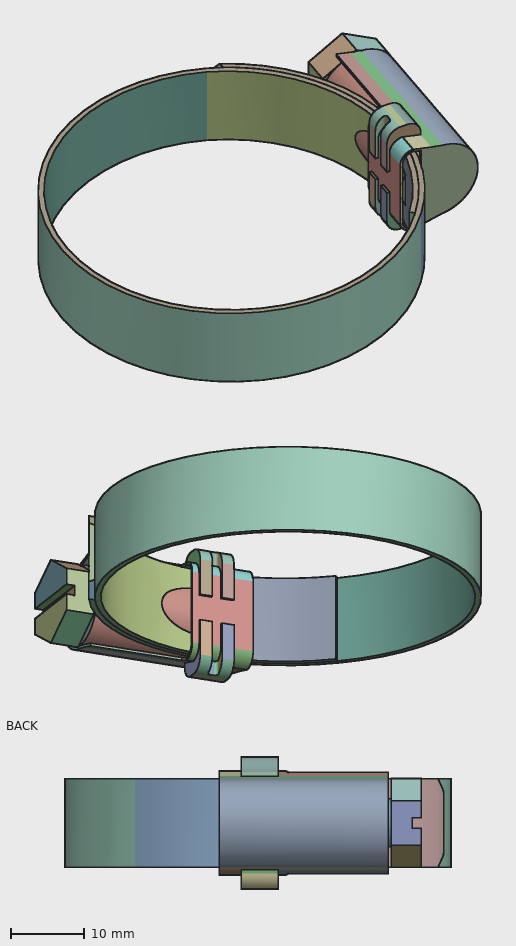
import cadquery as cq
import math

band_radius = 26.325
band_thickness = 0.8
layer_gap = 0.03
layer_pitch = band_thickness + layer_gap
band_width = 12.1
crest_radius = 26.55
overlap_angle = 90.0
outer_end_angle = 158.8
inner_end_angle = 50.5
end_chamfer = 1.8

top_y = 35.395
housing_radius = 6.05
sheet = 0.4
axis_y = top_y - housing_radius
screw_radius = housing_radius - sheet
neck_radius = 3.3
head_flats = 10.5
head_start_x = -22.2
head_end_x = -18.15
slot_width = 1.4
slot_depth = 1.25

housing_start_x = -17.8
housing_end_x = 5.3
arch_end_y = 29.95
crease_y = 28.15
crease_z = 6.39
skirt_end_y = 25.335
skirt_end_z = 7.1
short_skirt_y = 26.0
skirt_bevel = 0.4
end_wall_bottom_y = 26.6

saddle_start_x = -3.75
saddle_bottom_y = 23.3
saddle_sheet = 0.4
saddle_corner = skirt_end_y - saddle_bottom_y

clip_start_x = -2.8
clip_end_x = 2.3
clip_top_z = 9.0
clip_corner = 2.1
clip_bottom_y = saddle_bottom_y - sheet
prong_tip_z = 1.85
prong_gap = 1.5
prong_gap_end_y = 24.55
prong_gap_corner = 0.45


def polar(radius, angle):
    turn = math.radians(angle)
    return (radius * math.cos(turn), radius * math.sin(turn))


def strand(start_angle, end_angle, start_radius, end_radius):
    """Strip of band whose outer radius changes evenly along its arc."""
    mid_angle = (start_angle + end_angle) / 2
    mid_radius = (start_radius + end_radius) / 2
    return (
        cq.Workplane("XY")
        .workplane(offset=-band_width / 2)
        .moveTo(*polar(start_radius, start_angle))
        .threePointArc(polar(mid_radius, mid_angle), polar(end_radius, end_angle))
        .lineTo(*polar(end_radius - band_thickness, end_angle))
        .threePointArc(
            polar(mid_radius - band_thickness, mid_angle),
            polar(start_radius - band_thickness, start_angle),
        )
        .close()
        .extrude(band_width)
    )


def along_x(start_x):
    """Plane across the screw: local x is global Y, local y is global Z."""
    return cq.Workplane("YZ", origin=(start_x, 0, 0))


def both_sides(half):
    return half.union(half.mirror("XY"))


def chamfered_outer_tail():
    tail = strand(overlap_angle, outer_end_angle, crest_radius, band_radius + layer_pitch)
    tip_x, tip_y = polar(band_radius + layer_pitch, outer_end_angle)
    corner = (
        along_x(tip_x)
        .polyline([
            (tip_y - end_chamfer, band_width / 2 - 2 * end_chamfer),
            (tip_y + end_chamfer, band_width / 2),
            (tip_y - end_chamfer, band_width / 2),
        ])
        .close()
        .extrude(-2 * tip_x)
    )
    return tail.cut(both_sides(corner))


def make_band(screw):
    inner_radius = band_radius - layer_pitch
    inner_crest_radius = crest_radius - layer_pitch
    ring = strand(outer_end_angle, 360 + inner_end_angle, band_radius, band_radius)
    outer_rise = strand(inner_end_angle, overlap_angle, band_radius, crest_radius)
    inner_step = strand(overlap_angle, outer_end_angle, inner_crest_radius, band_radius)
    inner_tail = strand(inner_end_angle, overlap_angle, inner_radius, inner_crest_radius)
    band = ring.union(inner_step).union(inner_tail)
    band = band.union(outer_rise).union(chamfered_outer_tail())
    return band.cut(screw)


def make_screw():
    head_length = head_end_x - head_start_x
    corner_diameter = head_flats / math.cos(math.pi / 6)
    head = (
        along_x(head_start_x)
        .center(axis_y, 0)
        .transformed(rotate=(0, 0, 90))
        .polygon(6, corner_diameter)
        .extrude(head_length)
    )
    slot = along_x(head_start_x).center(axis_y, 0).rect(corner_diameter, slot_width).extrude(slot_depth)
    neck = along_x(head_end_x).center(axis_y, 0).circle(neck_radius).extrude(housing_start_x - head_end_x)
    shank = (
        along_x(housing_start_x)
        .center(axis_y, 0)
        .circle(screw_radius)
        .extrude(housing_end_x - sheet - housing_start_x)
    )
    return head.cut(slot).union(neck).union(shank)


def housing_fill(inset):
    """Filled arch and skirts, moved inward by the inset."""
    radius = housing_radius - inset
    arch_end_z = math.sqrt(radius**2 - (arch_end_y - axis_y) ** 2)
    return (
        along_x(housing_start_x)
        .moveTo(arch_end_y, arch_end_z)
        .threePointArc((axis_y + radius, 0), (arch_end_y, -arch_end_z))
        .lineTo(crease_y, -crease_z + inset)
        .lineTo(skirt_end_y, -skirt_end_z + inset)
        .lineTo(skirt_end_y, skirt_end_z - inset)
        .lineTo(crease_y, crease_z - inset)
        .close()
        .extrude(housing_end_x - housing_start_x)
    )


def saddle_fill(inset):
    """Filled channel section with round lower corners, moved inward by the inset."""
    side_z = skirt_end_z - inset
    bottom_y = saddle_bottom_y + inset
    radius = saddle_corner - inset
    flat_z = side_z - radius
    bulge = radius * math.sqrt(0.5)
    return (
        along_x(saddle_start_x)
        .moveTo(skirt_end_y, side_z)
        .threePointArc((skirt_end_y - bulge, flat_z + bulge), (bottom_y, flat_z))
        .lineTo(bottom_y, -flat_z)
        .threePointArc((skirt_end_y - bulge, -flat_z - bulge), (skirt_end_y, -side_z))
        .close()
        .extrude(housing_end_x - saddle_start_x)
    )


def make_clips():
    middle_x = (clip_start_x + clip_end_x) / 2
    lug = (
        cq.Workplane("XY")
        .box(
            clip_end_x - clip_start_x,
            crease_y - clip_bottom_y,
            clip_top_z - prong_tip_z,
            centered=False,
        )
        .translate((clip_start_x, clip_bottom_y, prong_tip_z))
        .edges("|X and >Z")
        .fillet(clip_corner)
    )
    gap = (
        cq.Workplane("XY")
        .box(prong_gap, prong_gap_end_y - clip_bottom_y, clip_top_z, centered=(True, False, False))
        .translate((middle_x, clip_bottom_y, 0))
        .edges("|Z and >Y")
        .fillet(prong_gap_corner)
    )
    lug = lug.cut(gap).cut(housing_fill(0)).cut(saddle_fill(0))
    return both_sides(lug)


def make_housing():
    end_wall = (
        cq.Workplane("XY")
        .box(sheet, top_y - end_wall_bottom_y, 2 * clip_top_z, centered=(False, False, True))
        .translate((housing_end_x - sheet, end_wall_bottom_y, 0))
    )
    shell = housing_fill(0).cut(housing_fill(sheet).cut(end_wall))
    skirt_trim = (
        cq.Workplane("XY")
        .workplane(offset=-clip_top_z)
        .polyline([
            (housing_start_x, skirt_end_y),
            (housing_start_x, short_skirt_y),
            (saddle_start_x - skirt_bevel, short_skirt_y),
            (saddle_start_x, skirt_end_y),
        ])
        .close()
        .extrude(2 * clip_top_z)
    )
    return shell.cut(skirt_trim).union(make_clips())


def make_saddle():
    return saddle_fill(0).cut(saddle_fill(saddle_sheet))


screw = make_screw()
band = make_band(screw)
housing = make_housing()
saddle = make_saddle()

bodies = [band, screw, housing, saddle]
result = cq.Compound.makeCompound([body.solids().val() for body in bodies])